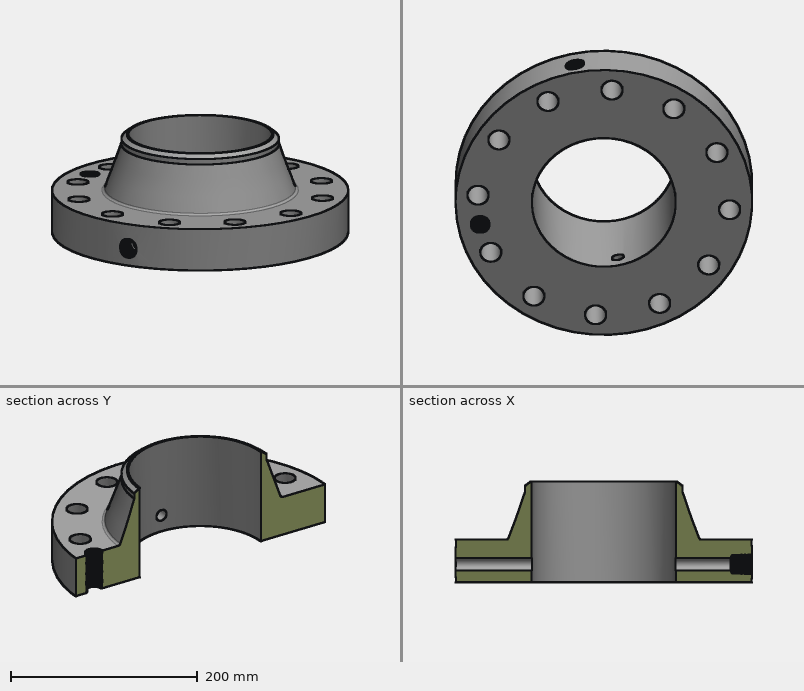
import cadquery as cq
import math

flange_diameter = 317.5
flange_radius = flange_diameter / 2
flange_thickness = 46.0
overall_height = 108.0

bore_diameter = 154.0
bore_radius = bore_diameter / 2
hub_base_radius = 103.0
neck_radius = 84.5
neck_straight_length = 6.0
weld_land = 1.5
weld_bevel_angle = 37.5
hub_fillet_radius = 3.2

bolt_circle_diameter = 270.0
bolt_circle_radius = bolt_circle_diameter / 2
bolt_count = 12
bolt_hole_diameter = 22.5

jack_major_diameter = 20.0
jack_minor_diameter = 16.8
jack_pitch = 2.5

tap_major_diameter = 21.0
tap_minor_diameter = 18.0
tap_pitch = 2.0
tap_thread_length = 23.0
tap_taper = 1 / 16
tap_drill_diameter = 12.7
drill_point_angle = 118.0
tap_height = 19.5


def make_body():
    """Flange and weld neck, revolved around Z with the bore left open."""
    weld_radius = bore_radius + weld_land
    bevel_height = (neck_radius - weld_radius) * math.tan(math.radians(weld_bevel_angle))
    bevel_z = overall_height - bevel_height
    cone_top_z = bevel_z - neck_straight_length

    cone_height = cone_top_z - flange_thickness
    cone_angle = math.atan2(cone_height, neck_radius - hub_base_radius)
    tangent_length = hub_fillet_radius / math.tan(cone_angle / 2)
    center_r = hub_base_radius + tangent_length
    center_z = flange_thickness + hub_fillet_radius
    mid_angle = math.radians(270) - (math.pi - cone_angle) / 2
    fillet_mid = (
        center_r + hub_fillet_radius * math.cos(mid_angle),
        center_z + hub_fillet_radius * math.sin(mid_angle),
    )
    fillet_top = (
        hub_base_radius + tangent_length * math.cos(cone_angle),
        flange_thickness + tangent_length * math.sin(cone_angle),
    )

    return (
        cq.Workplane("XZ")
        .moveTo(bore_radius, 0)
        .lineTo(flange_radius, 0)
        .lineTo(flange_radius, flange_thickness)
        .lineTo(center_r, flange_thickness)
        .threePointArc(fillet_mid, fillet_top)
        .lineTo(neck_radius, cone_top_z)
        .lineTo(neck_radius, bevel_z)
        .lineTo(weld_radius, overall_height)
        .lineTo(bore_radius, overall_height)
        .close()
        .revolve(360, (0, 0, 0), (0, 1, 0))
    )


def make_thread_cutter(major_diameter, minor_diameter, pitch, length, taper=0.0, point_angle=180.0):
    """Ringed thread form along +Z from the origin, ending in a drill point.

    The taper is the loss of diameter per unit of length.
    """
    ring_count = math.ceil(length / pitch)
    points = [(0, 0)]
    for ring in range(ring_count):
        root_z = ring * pitch
        crest_z = root_z + pitch / 2
        points.append(((major_diameter - taper * root_z) / 2, root_z))
        points.append(((minor_diameter - taper * crest_z) / 2, crest_z))
    end_radius, end_z = points[-1]
    point_depth = end_radius / math.tan(math.radians(point_angle / 2))
    points.append((0, end_z + point_depth))
    return cq.Workplane("XZ").polyline(points).close().revolve(360, (0, 0, 0), (0, 1, 0))


def cut_bolt_holes(body):
    half_step = 180 / bolt_count
    holes = (
        cq.Workplane("XY")
        .polarArray(bolt_circle_radius, half_step, 360, bolt_count)
        .circle(bolt_hole_diameter / 2)
        .extrude(flange_thickness)
    )
    return body.cut(holes)


def cut_jack_hole(body):
    cutter = make_thread_cutter(jack_major_diameter, jack_minor_diameter, jack_pitch, flange_thickness)
    cutter = cutter.rotate((0, 0, 0), (1, 0, 0), 180)
    return body.cut(cutter.translate((-bolt_circle_radius, 0, flange_thickness)))


def cut_pressure_tap(body):
    """Tapered thread in the -Y rim, with its drilled hole running through the bore and out of the +Y rim."""
    thread = make_thread_cutter(
        tap_major_diameter,
        tap_minor_diameter,
        tap_pitch,
        tap_thread_length,
        tap_taper,
        drill_point_angle,
    )
    drill = cq.Workplane("XY").circle(tap_drill_diameter / 2).extrude(flange_diameter)
    tool = thread.union(drill).rotate((0, 0, 0), (1, 0, 0), -90)
    return body.cut(tool.translate((0, -flange_radius, tap_height)))


result = make_body()
result = cut_bolt_holes(result)
result = cut_jack_hole(result)
result = cut_pressure_tap(result)